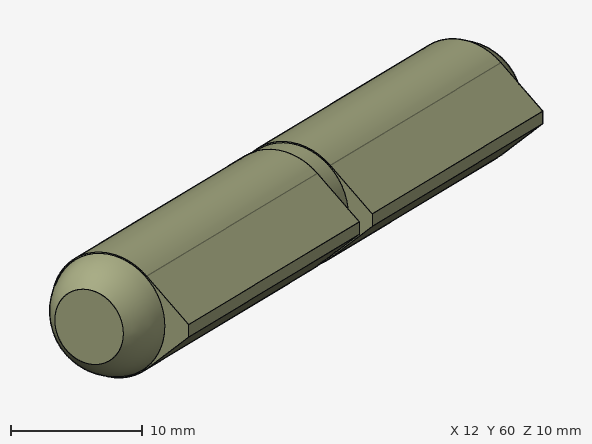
import cadquery as cq
import math

length = 60.0
end_flat_radius = 3.0
dome_length = 3.0
gap = 2.0
knuckle_diameter = 10.0
overall_width = 12.0

flank_slope = 41.5

knuckle_radius = knuckle_diameter / 2
dome_radius = knuckle_radius
lip_reach = overall_width - knuckle_radius
knuckle_length = (length - gap) / 2 - dome_length
flat_to_dome_centre = math.sqrt(dome_radius**2 - end_flat_radius**2)
pin_radius = math.sqrt(dome_radius**2 - (flat_to_dome_centre - dome_length) ** 2)


def make_pin():
    """Revolved pin with a flattened spherical dome at each end."""
    half = length / 2
    dome_start = half - dome_length
    dome_centre = half - flat_to_dome_centre
    mid_y = half - dome_length / 2
    mid_radius = math.sqrt(dome_radius**2 - (mid_y - dome_centre) ** 2)
    return (
        cq.Workplane("XY")
        .moveTo(0, -half)
        .lineTo(end_flat_radius, -half)
        .threePointArc((mid_radius, -mid_y), (pin_radius, -dome_start))
        .lineTo(pin_radius, dome_start)
        .threePointArc((mid_radius, mid_y), (end_flat_radius, half))
        .lineTo(0, half)
        .close()
        .revolve(360, (0, 0), (0, 1))
    )


def make_knuckle(y_start):
    """Round barrel whose tangent flanks converge to a narrow flat tip."""
    slope = math.radians(flank_slope)
    tangent_x = knuckle_radius * math.sin(slope)
    tangent_z = knuckle_radius * math.cos(slope)
    tip_half_height = tangent_z - (lip_reach - tangent_x) * math.tan(slope)
    return (
        cq.Workplane("XZ", origin=(0, y_start, 0))
        .moveTo(tangent_x, tangent_z)
        .lineTo(lip_reach, tip_half_height)
        .lineTo(lip_reach, -tip_half_height)
        .lineTo(tangent_x, -tangent_z)
        .threePointArc((-knuckle_radius, 0), (tangent_x, tangent_z))
        .close()
        .extrude(-knuckle_length)
    )


result = make_pin()
for y_start in (gap / 2, -gap / 2 - knuckle_length):
    result = result.union(make_knuckle(y_start))